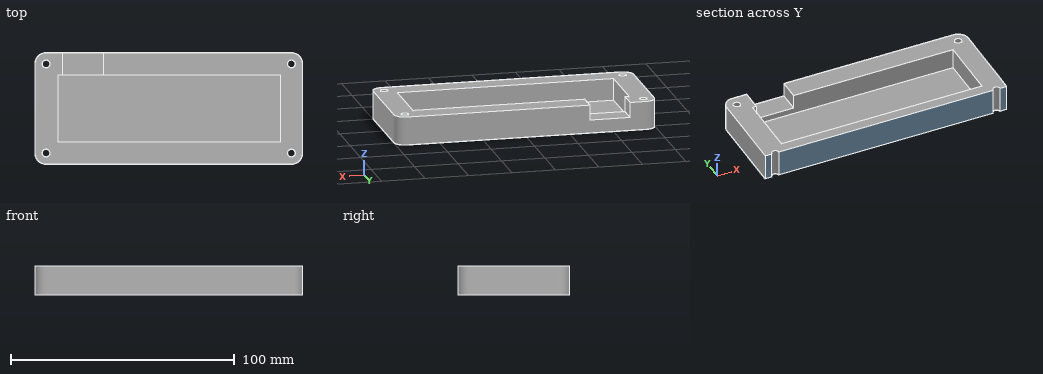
import cadquery as cq

length = 119.8
width = 50.0
height = 13.0
corner_radius = 5.0

pocket_length = 99.4
pocket_center_x = 0.2
pocket_width = 30.0
floor_thickness = 3.0
pocket_depth = height - floor_thickness

notch_left = -47.6
notch_length = 18.5
notch_depth = 7.0

hole_diameter = 3.4
hole_spacing_x = length - 2 * corner_radius
hole_spacing_y = width - 2 * corner_radius


def make_block():
    """Solid block with rounded vertical corners, standing on Z = 0."""
    block = cq.Workplane("XY").box(length, width, height, centered=(True, True, False))
    return block.edges("|Z").fillet(corner_radius)


def make_pocket():
    """Volume removed by the central pocket."""
    return (
        cq.Workplane("XY")
        .workplane(offset=floor_thickness)
        .center(pocket_center_x, 0)
        .rect(pocket_length, pocket_width)
        .extrude(pocket_depth)
    )


def make_notch():
    """Volume removed from the back wall, from the block centre line to the back face."""
    return (
        cq.Workplane("XY")
        .box(notch_length, width / 2, notch_depth, centered=False)
        .translate((notch_left, 0, height - notch_depth))
    )


def make_corner_holes():
    """Four cylinders removed for the corner screws."""
    return (
        cq.Workplane("XY")
        .rect(hole_spacing_x, hole_spacing_y, forConstruction=True)
        .vertices()
        .circle(hole_diameter / 2)
        .extrude(height)
    )


result = make_block().cut(make_pocket()).cut(make_notch()).cut(make_corner_holes())